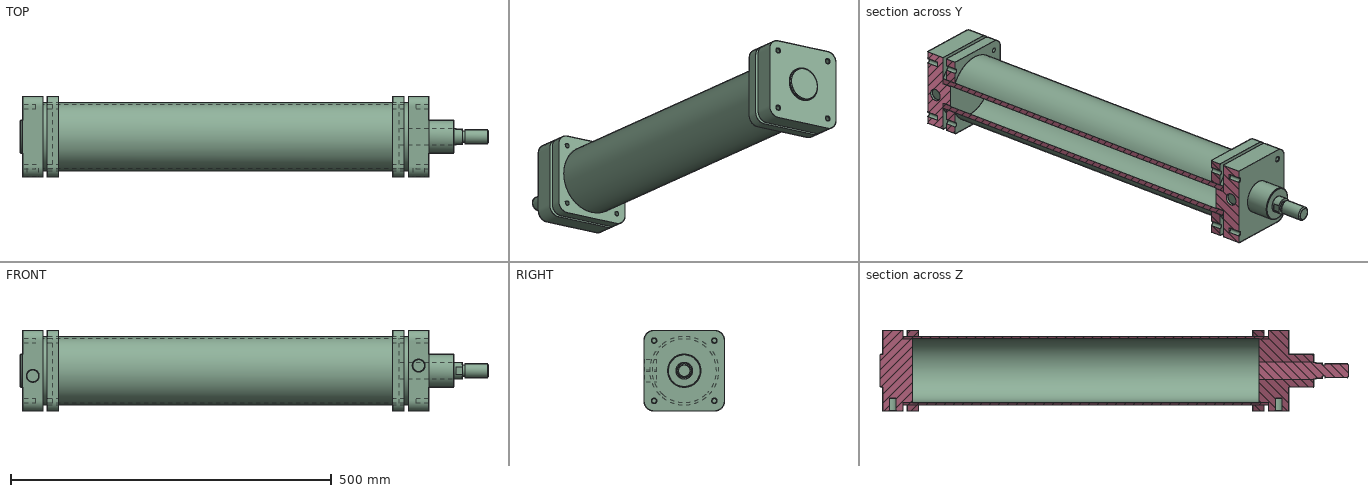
import cadquery as cq


SQUARE = 126.0
CORNER_RADIUS = 16.0
CAP_LENGTH = 32.0
FLANGE_LENGTH = 18.0
GAP = 6.5
BOLT_OFFSET = SQUARE / 2 - CORNER_RADIUS
BOLT_DIAMETER = 7.0
CAP_BOLT_CHAMFER = 0.8
CAP_BOLT_DEPTH = 20.0

TUBE_DIAMETER = 107.5
BORE_DIAMETER = 100.0
SPIGOT_LENGTH = 15.0

BOSS_DIAMETER = 52.0
REAR_BOSS_CHAMFER = 1.5
FRONT_BOSS_CHAMFER = 1.0
REAR_BOSS_LENGTH = 4.0
FRONT_BOSS_LENGTH = 39.0

PORT_DIAMETER = 18.5
PORT_CHAMFER = 0.8
PORT_DEPTH = 20.0
PORT_OFFSET = 8.0

ROD_DIAMETER = 26.0
ROD_EXPOSED = 13.0
FLAT_START = 3.0
ACROSS_FLATS = 23.5
NECK_DIAMETER = 18.0
NECK_LENGTH = 4.0
THREAD_DIAMETER = 22.0
THREAD_CHAMFER = 2.0

OVERALL_LENGTH = 731.0
FRONT_FACE = 638.0
REAR_CAP_START = REAR_BOSS_LENGTH
REAR_CAP_END = REAR_CAP_START + CAP_LENGTH
REAR_FLANGE_START = REAR_CAP_END + GAP
FRONT_CAP_START = FRONT_FACE - CAP_LENGTH
FRONT_FLANGE_START = FRONT_CAP_START - GAP - FLANGE_LENGTH
BOSS_END = FRONT_FACE + FRONT_BOSS_LENGTH
ROD_START = FRONT_CAP_START - SPIGOT_LENGTH


def cylinder(start, end, diameter):
    """Round bar along X between two stations."""
    return cq.Workplane("YZ", origin=(start, 0, 0)).circle(diameter / 2).extrude(end - start)


def square_plate(start, length):
    """Square plate with rounded corners."""
    plate = cq.Workplane("YZ", origin=(start, 0, 0)).rect(SQUARE, SQUARE).extrude(length)
    return plate.edges("|X").fillet(CORNER_RADIUS)


def bolt_corners(start):
    """Workplane at a station along X holding the four bolt centres, one on each corner radius."""
    square = cq.Workplane("YZ", origin=(start, 0, 0))
    return square.rect(2 * BOLT_OFFSET, 2 * BOLT_OFFSET, forConstruction=True).vertices()


def bolt_holes(start, length):
    """Four straight cutters along X."""
    return bolt_corners(start).circle(BOLT_DIAMETER / 2).extrude(length)


def cap_bolt_holes(outer_face, inward):
    """Four blind cutters with chamfered mouths; inward is +1 or -1 along X."""
    mouth_diameter = BOLT_DIAMETER + 2 * CAP_BOLT_CHAMFER
    mouths = bolt_corners(outer_face).circle(mouth_diameter / 2)
    mouths = mouths.extrude(inward * CAP_BOLT_CHAMFER, taper=45)
    return bolt_holes(outer_face, inward * CAP_BOLT_DEPTH).union(mouths)


def port(x, z):
    """Blind port cutter going inward from the -Y face, with a chamfered mouth."""
    mouth_diameter = PORT_DIAMETER + 2 * PORT_CHAMFER
    mouth = cq.Workplane("XZ", origin=(x, -SQUARE / 2, z)).circle(mouth_diameter / 2)
    mouth = mouth.extrude(-PORT_CHAMFER, taper=45)
    bore = cq.Workplane("XZ", origin=(x, -SQUARE / 2, z)).circle(PORT_DIAMETER / 2).extrude(-PORT_DEPTH)
    return bore.union(mouth)


def make_rear_cap():
    boss = cylinder(0, REAR_CAP_START, BOSS_DIAMETER).faces("<X").chamfer(REAR_BOSS_CHAMFER)
    spigot = cylinder(REAR_CAP_END, REAR_CAP_END + SPIGOT_LENGTH, BORE_DIAMETER)
    cap = square_plate(REAR_CAP_START, CAP_LENGTH).union(boss).union(spigot)
    cap = cap.cut(cap_bolt_holes(REAR_CAP_START, 1))
    return cap.cut(port(REAR_CAP_START + CAP_LENGTH / 2, -PORT_OFFSET))


def make_front_cap():
    boss = cylinder(FRONT_FACE, BOSS_END, BOSS_DIAMETER).faces(">X").chamfer(FRONT_BOSS_CHAMFER)
    spigot = cylinder(ROD_START, FRONT_CAP_START, BORE_DIAMETER)
    cap = square_plate(FRONT_CAP_START, CAP_LENGTH).union(boss).union(spigot)
    cap = cap.cut(cap_bolt_holes(FRONT_FACE, -1))
    rod_bore = cylinder(ROD_START, BOSS_END, ROD_DIAMETER)
    return cap.cut(rod_bore).cut(port(FRONT_CAP_START + CAP_LENGTH / 2, PORT_OFFSET))


def make_flange(start):
    """Tube flange with through bolt holes, bored to slide over the tube."""
    tube_bore = cylinder(start, start + FLANGE_LENGTH, TUBE_DIAMETER)
    return square_plate(start, FLANGE_LENGTH).cut(tube_bore).cut(bolt_holes(start, FLANGE_LENGTH))


def make_tube():
    """Barrel reaching from cap to cap over their spigots."""
    barrel = cylinder(REAR_CAP_END, FRONT_CAP_START, TUBE_DIAMETER)
    return barrel.cut(cylinder(REAR_CAP_END, FRONT_CAP_START, BORE_DIAMETER))


def make_rod():
    """Rod with two wrench flats facing +Y and -Y, a thread relief neck and a chamfered thread."""
    shank_end = BOSS_END + ROD_EXPOSED
    neck_end = shank_end + NECK_LENGTH
    shank = cylinder(ROD_START, shank_end, ROD_DIAMETER)
    flat_length = ROD_EXPOSED - FLAT_START
    flat_depth = (ROD_DIAMETER - ACROSS_FLATS) / 2
    for side in (-1, 1):
        shank = shank.cut(
            cq.Workplane("XY")
            .box(flat_length, flat_depth, ROD_DIAMETER)
            .translate((shank_end - flat_length / 2, side * (ACROSS_FLATS + flat_depth) / 2, 0))
        )
    neck = cylinder(shank_end, neck_end, NECK_DIAMETER)
    thread = cylinder(neck_end, OVERALL_LENGTH, THREAD_DIAMETER).faces(">X").chamfer(THREAD_CHAMFER)
    return shank.union(neck).union(thread)


rear_cap = make_rear_cap()
front_cap = make_front_cap()
tube = make_tube()
rod = make_rod()
flanges = [make_flange(start) for start in (REAR_FLANGE_START, FRONT_FLANGE_START)]

result = cq.Compound.makeCompound(
    [rear_cap.val(), front_cap.val(), tube.val(), rod.val()] + [flange.val() for flange in flanges]
)